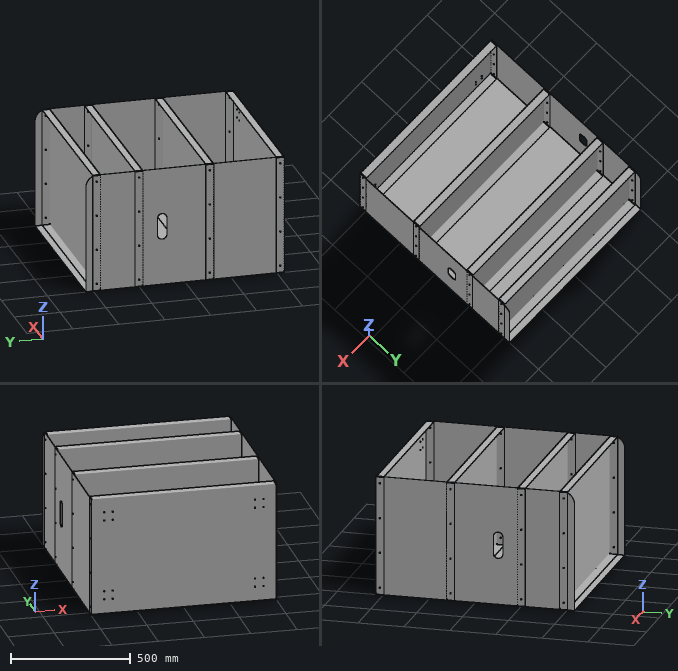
import cadquery as cq

width = 804.0
depth = 865.0
height = 522.0
sheet = 2.0

panel_width = width - 2 * sheet
panel_height = height - sheet
middle_z = sheet + panel_height / 2
flange_depth = 35.5
bend_radius = 4.0
panel_fronts = [0.0, 307.0, 615.0, 799.0]

hole_diameter = 5.0
end_hole_inset = 30.0
flange_hole_setback = 18.0
flange_hole_count = 4
floor_hole_count = 5
floor_hole_y = 795.0

group_inset_x = 74.0
group_inset_z = 83.0
group_pitch = 36.0

corner_radius = 50.0
handle_y = 533.0
handle_width = 41.5
handle_length = 115.0


def hole_row(length, count):
    """Evenly spaced positions, centred on zero, along an edge of the given length."""
    span = length - 2 * end_hole_inset
    return [span * (i / (count - 1) - 0.5) for i in range(count)]


def flange_holes(front):
    """Rods along X that drill the side flanges of one panel and the side sheets."""
    hole_y = front + flange_hole_setback
    points = [(hole_y, middle_z + z) for z in hole_row(panel_height, flange_hole_count)]
    return (
        cq.Workplane("YZ", origin=(-width / 2, 0, 0))
        .pushPoints(points)
        .circle(hole_diameter / 2)
        .extrude(width)
    )


def channel(span, length):
    """U-shaped sheet: web across X at the front, flanges folded back, length along Z."""
    inner_radius = bend_radius - sheet
    outside = cq.Workplane("XY").box(span, flange_depth, length)
    inside = (
        cq.Workplane("XY")
        .box(span - 2 * sheet, flange_depth, length)
        .edges("|Z and <Y")
        .fillet(inner_radius)
        .translate((0, sheet, 0))
    )
    return outside.edges("|Z and <Y").fillet(bend_radius).cut(inside)


def folded_panel(front):
    """Flat face with a flange folded back on each edge and open corners at the folds.

    Behind the fold, the side flanges run on down to the bottom of the panel.
    """
    side_flanges = channel(panel_width, panel_height - 2 * bend_radius)
    end_flanges = channel(panel_height, panel_width - 2 * bend_radius)
    end_flanges = end_flanges.rotate((0, 0, 0), (0, 1, 0), 90)
    side_flange_feet = (
        cq.Workplane("XY")
        .box(panel_width, flange_depth - bend_radius, bend_radius)
        .cut(cq.Workplane("XY").box(panel_width - 2 * sheet, flange_depth, bend_radius))
        .translate((0, bend_radius / 2, (bend_radius - panel_height) / 2))
    )
    panel = side_flanges.union(end_flanges).union(side_flange_feet)
    panel = panel.translate((0, front + flange_depth / 2, middle_z))
    return panel.cut(flange_holes(front))


def group_holes():
    """Rods along Y that drill the four hole groups through the front panel's face."""
    group_span_x = panel_width - 2 * group_inset_x
    group_span_z = panel_height - 2 * group_inset_z
    columns = [(group * group_span_x + hole * group_pitch) / 2 for group in (-1, 1) for hole in (-1, 1)]
    rows = [(group * group_span_z + hole * group_pitch) / 2 for group in (-1, 1) for hole in (-1, 1)]
    points = [(x, z) for x in columns for z in rows]
    return (
        cq.Workplane("XZ", origin=(0, 0, middle_z))
        .pushPoints(points)
        .circle(hole_diameter / 2)
        .extrude(-sheet)
    )


def side_sheet(outer_x):
    """Flat side with a rounded top rear corner, a handle slot and the fastener holes."""
    blank = (
        cq.Workplane("YZ", origin=(outer_x, 0, 0))
        .rect(depth, height, centered=False)
        .extrude(sheet)
        .edges("|X and >Y and >Z")
        .fillet(corner_radius)
    )
    handle = (
        cq.Workplane("YZ", origin=(outer_x, 0, 0))
        .center(handle_y, middle_z)
        .slot2D(handle_length, handle_width, 90)
        .extrude(sheet)
    )
    side = blank.cut(handle)
    for front in panel_fronts:
        side = side.cut(flange_holes(front))
    return side


def floor_sheet():
    """Flat floor between the side sheets, with a row of holes ahead of the rear panel."""
    points = [(x, floor_hole_y) for x in hole_row(panel_width, floor_hole_count)]
    holes = cq.Workplane("XY").pushPoints(points).circle(hole_diameter / 2).extrude(sheet)
    blank = cq.Workplane("XY").box(panel_width, depth, sheet, centered=(True, False, False))
    return blank.cut(holes)


panels = [folded_panel(front) for front in panel_fronts]
panels[0] = panels[0].cut(group_holes())
sides = [side_sheet(-width / 2), side_sheet(width / 2 - sheet)]
floor = floor_sheet()

bodies = [*panels, *sides, floor]
result = cq.Compound.makeCompound([body.solids().val() for body in bodies])